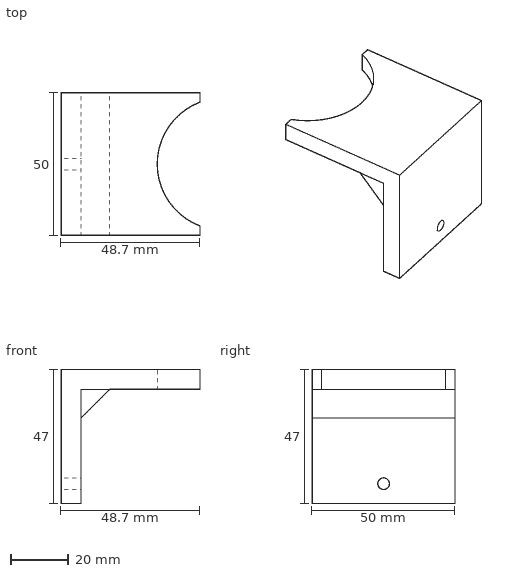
import cadquery as cq

length = 48.7
width = 50.0
height = 47.0
thickness = 7.0

gusset_leg = 10.0
gusset_end_setback = 0.025

cutout_radius = 23.15
cutout_depth = 15.0

hole_diameter = 4.0
hole_height = 7.0


def make_bracket():
    """L-shaped plates, with the outer corner on the Y axis and the bottom at Z = 0."""
    upright = cq.Workplane("XY").box(thickness, width, height, centered=(False, True, False))
    top_plate = (
        cq.Workplane("XY", origin=(0, 0, height - thickness))
        .box(length, width, thickness, centered=(False, True, False))
    )
    return upright.union(top_plate)


def make_gusset():
    """Triangular prism in the inside corner, its ends just short of the plate sides."""
    underside = height - thickness
    return (
        cq.Workplane("XZ")
        .moveTo(thickness, underside)
        .lineTo(thickness + gusset_leg, underside)
        .lineTo(thickness, underside - gusset_leg)
        .close()
        .extrude(width / 2 - gusset_end_setback, both=True)
    )


def make_cutout():
    """Vertical cylinder that scallops the free edge of the top plate."""
    center_x = length - cutout_depth + cutout_radius
    return cq.Workplane("XY").center(center_x, 0).circle(cutout_radius).extrude(height)


def make_hole():
    """Cylinder along X through the upright plate."""
    return (
        cq.Workplane("YZ")
        .center(0, hole_height)
        .circle(hole_diameter / 2)
        .extrude(thickness)
    )


result = make_bracket().union(make_gusset()).cut(make_cutout()).cut(make_hole())